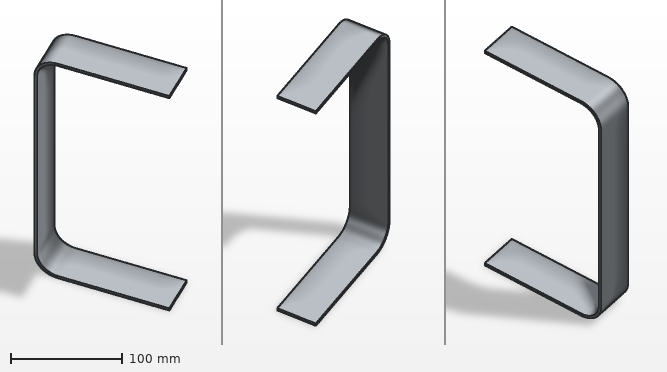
import cadquery as cq

height = 264.0
leg_length = 132.0
strip_width = 40.0
thickness = 3.0
outer_radius = 23.0

inner_radius = outer_radius - thickness


def rounded_block(x_start, x_end, block_height, corner_radius):
    """Block centred on Y and Z, with its two -X corners rounded."""
    length = x_end - x_start
    return (
        cq.Workplane("XY")
        .box(length, strip_width, block_height)
        .edges("|Y and <X")
        .fillet(corner_radius)
        .translate(((x_start + x_end) / 2, 0, 0))
    )


outer_block = rounded_block(0, leg_length, height, outer_radius)
inner_block = rounded_block(thickness, leg_length, height - 2 * thickness, inner_radius)

result = outer_block.cut(inner_block)